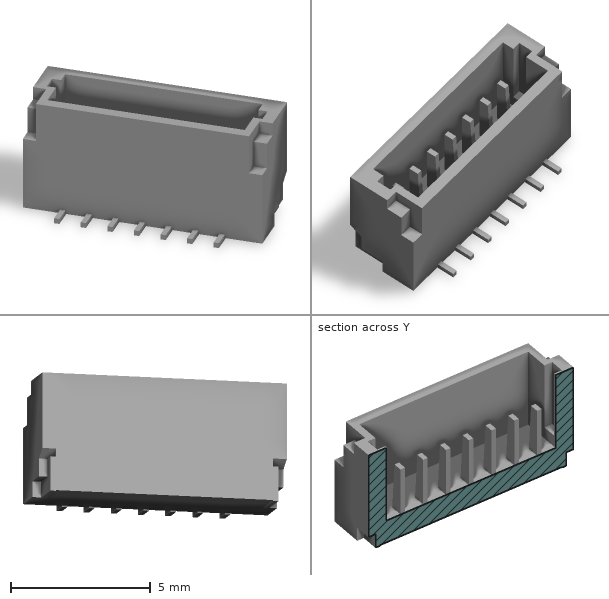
import cadquery as cq

LENGTH = 9.0
DEPTH = 2.9
HEIGHT = 4.27

END_WALL = 0.79
SIDE_WALL = 0.41
FLOOR = 1.0
SLOT_END_WALL = 0.45
SLOT_FRONT = 1.41
SLOT_WIDTH = 0.59
SLOT_FLOOR = 1.49

CORNER_CUT_LENGTH = 0.495
UPPER_STEP_DEPTH = 1.2
UPPER_STEP_DROP = 0.495
LOWER_STEP_DEPTH = 0.55
LOWER_STEP_DROP = 1.49

TAB_INSET = 0.31
TAB_THICKNESS = 0.2
TAB_FOOT_DEPTH = 1.49
TAB_FOOT_HEIGHT = 0.58
TAB_LEG_DEPTH = 0.51
TAB_TOP = 1.22
TAB_DROP = 0.03
RECESS_TOP = 1.51

CONTACT_COUNT = 7
PITCH = 1.0
CONTACT_WIDTH = 0.2
PIN_FRONT = 1.59
PIN_REAR = 2.1
PIN_TOP = 3.01
PIN_TAPER = 0.135
LEAD_REACH = 0.7
LEAD_INSERT = 0.12
LEAD_THICKNESS = 0.2
LEAD_DROP = 0.05


def extrude_along_x(points, x_start, width):
    """Extrude a (Y, Z) outline towards +X from x_start."""
    return cq.Workplane("YZ").workplane(offset=x_start).polyline(points).close().extrude(width)


def block(length, depth, height, y_front, z_bottom):
    """Make a box centred on X from its front and bottom positions."""
    box = cq.Workplane("XY").box(length, depth, height, centered=(True, False, False))
    return box.translate((0, y_front, z_bottom))


def make_cavity():
    cavity_length = LENGTH - 2 * END_WALL
    cavity = block(cavity_length, DEPTH - 2 * SIDE_WALL, HEIGHT - FLOOR, SIDE_WALL, FLOOR)
    slots_length = LENGTH - 2 * SLOT_END_WALL
    slots = block(slots_length, SLOT_WIDTH, HEIGHT - SLOT_FLOOR, SLOT_FRONT, SLOT_FLOOR)
    return cavity.union(slots)


def make_left_corner_cut():
    upper_step = HEIGHT - UPPER_STEP_DROP
    lower_step = HEIGHT - LOWER_STEP_DROP
    outline = [
        (0, HEIGHT),
        (UPPER_STEP_DEPTH, HEIGHT),
        (UPPER_STEP_DEPTH, upper_step),
        (LOWER_STEP_DEPTH, upper_step),
        (LOWER_STEP_DEPTH, lower_step),
        (0, lower_step),
    ]
    return extrude_along_x(outline, -LENGTH / 2, CORNER_CUT_LENGTH)


def tab_outline(bottom, rear_top):
    """L-shaped outline shared by tab and recess; rear_top is its height at the rear face."""
    foot_front = DEPTH - TAB_FOOT_DEPTH
    leg_front = DEPTH - TAB_LEG_DEPTH
    return [
        (DEPTH, bottom),
        (foot_front, bottom),
        (foot_front, TAB_FOOT_HEIGHT),
        (leg_front, TAB_FOOT_HEIGHT),
        (leg_front, TAB_TOP),
        (DEPTH, rear_top),
    ]


def make_left_recess():
    return extrude_along_x(tab_outline(0, RECESS_TOP), -LENGTH / 2, TAB_INSET + TAB_THICKNESS)


def make_left_tab():
    return extrude_along_x(tab_outline(-TAB_DROP, TAB_TOP), -LENGTH / 2 + TAB_INSET, TAB_THICKNESS)


def make_contact(x_center):
    x_start = x_center - CONTACT_WIDTH / 2
    pin_root = FLOOR / 2
    pin = [
        (PIN_FRONT, pin_root),
        (PIN_REAR, pin_root),
        (PIN_REAR, PIN_TOP),
        (PIN_FRONT + PIN_TAPER, PIN_TOP),
        (PIN_FRONT, FLOOR),
    ]
    lead = block(CONTACT_WIDTH, LEAD_REACH + LEAD_INSERT, LEAD_THICKNESS, -LEAD_REACH, -LEAD_DROP)
    return extrude_along_x(pin, x_start, CONTACT_WIDTH).union(lead.translate((x_center, 0, 0)))


def both_ends(left_shape):
    """Add the mirror image of a left-end shape at the right end."""
    return left_shape.union(left_shape.mirror("YZ"))


result = block(LENGTH, DEPTH, HEIGHT, 0, 0)
result = result.cut(make_cavity())
result = result.cut(both_ends(make_left_corner_cut()))
result = result.cut(both_ends(make_left_recess()))
result = result.union(both_ends(make_left_tab()))

for index in range(CONTACT_COUNT):
    contact_x = (index - (CONTACT_COUNT - 1) / 2) * PITCH
    result = result.union(make_contact(contact_x))